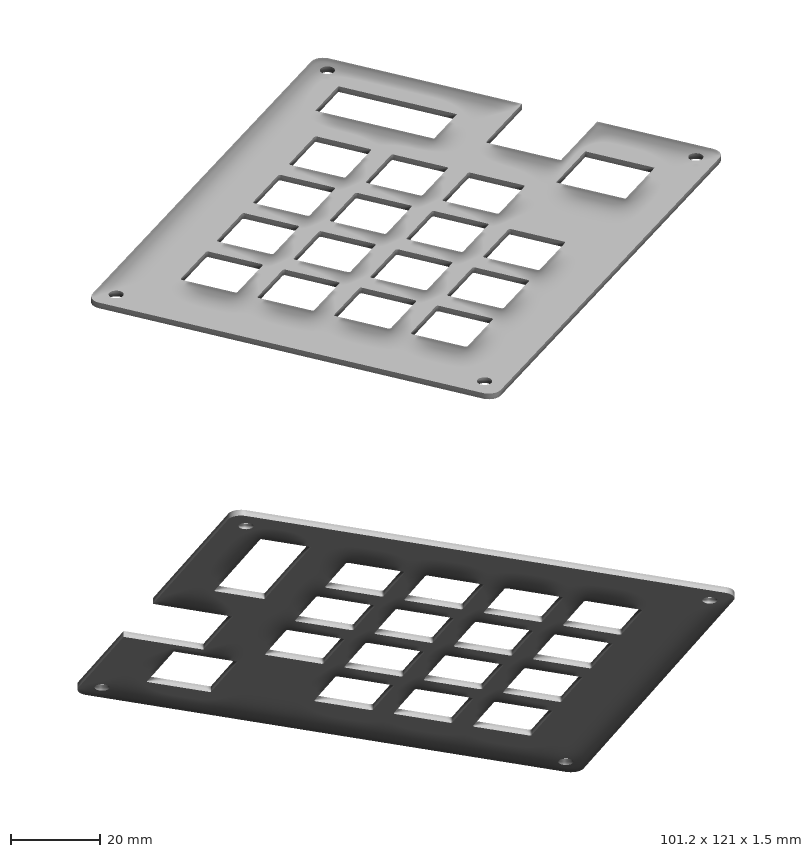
import cadquery as cq

plate_width = 101.2
plate_length = 121.0
plate_thickness = 1.5
plate_corner_radius = 3.0

hole_diameter = 3.4
hole_inset = 5.0

key_size = 14.0
key_pitch = 19.0
key_corner_radius = 0.5
key_columns = 4
key_rows = 4
key_grid_center_y = -7.9
empty_key_cell = (key_columns - 1, key_rows - 1)

display_width = 29.4
display_height = 12.1
display_center = (-25.7, 44.0)

knob_width = 17.2
knob_height = 15.4
knob_center = (30.7, 39.6)

notch_left = 0.2
notch_width = 18.6
notch_depth = 19.1


def cutter(width, height, center):
    """Rectangular block through the full plate thickness."""
    return cq.Workplane("XY").center(*center).rect(width, height).extrude(plate_thickness)


def make_plate():
    plate = cq.Workplane("XY").rect(plate_width, plate_length).extrude(plate_thickness)
    return plate.edges("|Z").fillet(plate_corner_radius)


def cut_mounting_holes(plate):
    corners = cq.Workplane("XY").rect(
        plate_width - 2 * hole_inset, plate_length - 2 * hole_inset, forConstruction=True
    )
    return plate.cut(corners.vertices().circle(hole_diameter / 2).extrude(plate_thickness))


def cut_key_openings(plate):
    for column in range(key_columns):
        for row in range(key_rows):
            if (column, row) == empty_key_cell:
                continue
            x = (column - (key_columns - 1) / 2) * key_pitch
            y = key_grid_center_y + (row - (key_rows - 1) / 2) * key_pitch
            opening = cutter(key_size, key_size, (x, y))
            plate = plate.cut(opening.edges("|Z").fillet(key_corner_radius))
    return plate


def cut_windows_and_notch(plate):
    notch_center = (notch_left + notch_width / 2, (plate_length - notch_depth) / 2)
    plate = plate.cut(cutter(display_width, display_height, display_center))
    plate = plate.cut(cutter(knob_width, knob_height, knob_center))
    return plate.cut(cutter(notch_width, notch_depth, notch_center))


result = make_plate()
result = cut_mounting_holes(result)
result = cut_key_openings(result)
result = cut_windows_and_notch(result)